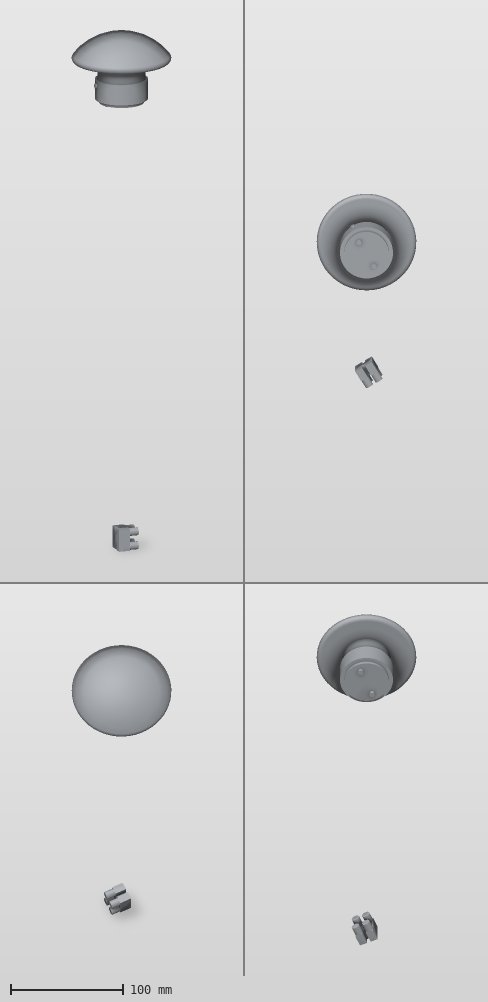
import cadquery as cq
import math

TOP_Z = 477.0

HEAD_DIAMETER = 88.5
HEAD_HEIGHT = 27.0
RIM_RADIUS = 4.0
STEM_DIAMETER = 43.0
HEAD_BOTTOM_Z = TOP_Z - HEAD_HEIGHT

COLLAR_DIAMETER = 47.0
UPPER_COLLAR_TOP_Z = 434.5
UPPER_COLLAR_HEIGHT = 10.0
LOWER_COLLAR_HEIGHT = 8.5
LOWER_COLLAR_TOP_Z = UPPER_COLLAR_TOP_Z - UPPER_COLLAR_HEIGHT
LOWER_COLLAR_BOTTOM_Z = LOWER_COLLAR_TOP_Z - LOWER_COLLAR_HEIGHT

END_DISC_DIAMETER = 40.0
END_DISC_HEIGHT = 3.5
PEG_DIAMETER = 5.0
PEG_HEIGHT = 3.0
PEG_OFFSET_Y = 13.0

SET_SCREW_DIAMETER = 4.5
SET_SCREW_DEPTH = 2.5
SET_SCREW_PROJECTION = 1.5
SET_SCREW_INNER_Y = -COLLAR_DIAMETER / 2 + SET_SCREW_DEPTH
SOCKET_DIAMETER = 2.5
SOCKET_DEPTH = 1.5
SET_SCREW_Z = LOWER_COLLAR_TOP_Z + UPPER_COLLAR_HEIGHT / 2

BLOCK_WIDTH = 17.0
BLOCK_DEPTH = 10.5
BLOCK_HEIGHT = 20.0
SLOT_WIDTH = 3.5
CROSSBAR_HEIGHT = 7.0
CROSSBAR_HOLE_DIAMETER = 2.3

TERMINAL_DIAMETER = 7.0
TERMINAL_LENGTH = 8.0
TERMINAL_HEAD_SIZE = 6.0


def make_head():
    """Dome and rounded rim, with tangent arcs, turned together with the stem."""
    rim_center_r = HEAD_DIAMETER / 2 - RIM_RADIUS
    rim_center_z = HEAD_BOTTOM_Z + RIM_RADIUS
    rise = TOP_Z - rim_center_z
    dome_radius = (rim_center_r**2 + rise**2 - RIM_RADIUS**2) / (2 * (rise - RIM_RADIUS))
    dome_center_z = TOP_Z - dome_radius
    tangent_angle = math.atan2(rim_center_z - dome_center_z, rim_center_r)

    def dome_point(angle):
        return dome_radius * math.cos(angle), dome_center_z + dome_radius * math.sin(angle)

    stem_radius = STEM_DIAMETER / 2
    profile = (
        cq.Workplane("XZ")
        .moveTo(0, TOP_Z)
        .threePointArc(dome_point((tangent_angle + math.pi / 2) / 2), dome_point(tangent_angle))
        .threePointArc((HEAD_DIAMETER / 2, rim_center_z), (rim_center_r, HEAD_BOTTOM_Z))
        .lineTo(stem_radius, HEAD_BOTTOM_Z)
        .lineTo(stem_radius, UPPER_COLLAR_TOP_Z)
        .lineTo(0, UPPER_COLLAR_TOP_Z)
        .close()
    )
    return profile.revolve(360, (0, 0), (0, 1))


def make_screw_cylinder():
    """Radial cylinder on the -Y side, starting inside the upper collar and standing proud of it."""
    return (
        cq.Workplane("XZ", origin=(0, SET_SCREW_INNER_Y, SET_SCREW_Z))
        .circle(SET_SCREW_DIAMETER / 2)
        .extrude(SET_SCREW_DEPTH + SET_SCREW_PROJECTION)
    )


def make_set_screw():
    """Set screw with a round socket in its outer end."""
    return make_screw_cylinder().faces("<Y").workplane().hole(SOCKET_DIAMETER, SOCKET_DEPTH)


def make_upper_collar():
    """Plain collar with a matching recess for the set screw."""
    collar = (
        cq.Workplane("XY", origin=(0, 0, LOWER_COLLAR_TOP_Z))
        .circle(COLLAR_DIAMETER / 2)
        .extrude(UPPER_COLLAR_HEIGHT)
    )
    return collar.cut(make_screw_cylinder())


def make_lower_collar():
    """Collar stepped down to an end disc that carries two pegs."""
    return (
        cq.Workplane("XY", origin=(0, 0, LOWER_COLLAR_BOTTOM_Z))
        .circle(COLLAR_DIAMETER / 2)
        .extrude(LOWER_COLLAR_HEIGHT)
        .faces("<Z")
        .workplane()
        .circle(END_DISC_DIAMETER / 2)
        .extrude(END_DISC_HEIGHT)
        .faces("<Z")
        .workplane()
        .pushPoints([(0, -PEG_OFFSET_Y), (0, PEG_OFFSET_Y)])
        .circle(PEG_DIAMETER / 2)
        .extrude(PEG_HEIGHT)
    )


def make_terminal(side, level):
    """Square head in one rear corner of the block, with a round tail out of its +Y side."""
    head_x = side * (BLOCK_WIDTH - TERMINAL_HEAD_SIZE) / 2
    head_z = BLOCK_HEIGHT / 2 + level * (BLOCK_HEIGHT - TERMINAL_HEAD_SIZE) / 2
    tail_x = side * (BLOCK_WIDTH - TERMINAL_DIAMETER) / 2
    tail_z = BLOCK_HEIGHT / 2 + level * (BLOCK_HEIGHT - TERMINAL_DIAMETER) / 2
    rear_y = BLOCK_DEPTH / 2
    head = cq.Workplane("XY").box(TERMINAL_HEAD_SIZE, TERMINAL_HEAD_SIZE, TERMINAL_HEAD_SIZE)
    head = head.translate((head_x, rear_y - TERMINAL_HEAD_SIZE / 2, head_z))
    tail = (
        cq.Workplane("XZ", origin=(tail_x, rear_y, tail_z))
        .circle(TERMINAL_DIAMETER / 2)
        .extrude(-TERMINAL_LENGTH)
    )
    return head.union(tail)


def make_block(terminals):
    """H-shaped block: slots above and below a drilled crossbar, corners cut for the terminals."""
    slot_height = (BLOCK_HEIGHT - CROSSBAR_HEIGHT) / 2
    block = cq.Workplane("XY").box(BLOCK_WIDTH, BLOCK_DEPTH, BLOCK_HEIGHT, centered=(True, True, False))
    slot = cq.Workplane("XY").box(SLOT_WIDTH, BLOCK_DEPTH, slot_height, centered=(True, True, False))
    block = block.cut(slot).cut(slot.translate((0, 0, BLOCK_HEIGHT - slot_height)))
    block = block.faces("<Y").workplane(centerOption="CenterOfBoundBox").hole(CROSSBAR_HOLE_DIAMETER)
    for terminal in terminals:
        block = block.cut(terminal)
    return block


head = make_head()
set_screw = make_set_screw()
upper_collar = make_upper_collar()
lower_collar = make_lower_collar()
terminals = [make_terminal(side, level) for side in (-1, 1) for level in (-1, 1)]
block = make_block(terminals)

result = cq.Compound.makeCompound(
    [
        head.val(),
        upper_collar.val(),
        set_screw.val(),
        lower_collar.val(),
        block.val(),
        *[terminal.val() for terminal in terminals],
    ]
)